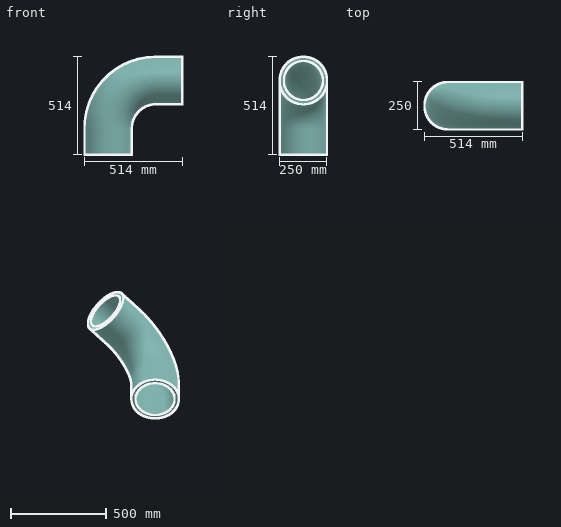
import cadquery as cq

overall_length = 514.0
outer_diameter = 250.0
bore_diameter = 204.5
bend_radius = outer_diameter

straight_length = overall_length - bend_radius - outer_diameter / 2
bend_top = straight_length + bend_radius


def swept_rod(diameter):
    """Solid round rod: up along Z, through the bend, then out along +X."""
    lower_leg = cq.Workplane("XY").circle(diameter / 2).extrude(straight_length)
    bend = (
        cq.Workplane("XY", origin=(0, 0, straight_length))
        .circle(diameter / 2)
        .revolve(90, (bend_radius, 0), (bend_radius, 1))
    )
    upper_leg = (
        cq.Workplane("YZ", origin=(bend_radius, 0, bend_top))
        .circle(diameter / 2)
        .extrude(straight_length)
    )
    return lower_leg.union(bend).union(upper_leg)


result = swept_rod(outer_diameter).cut(swept_rod(bore_diameter))